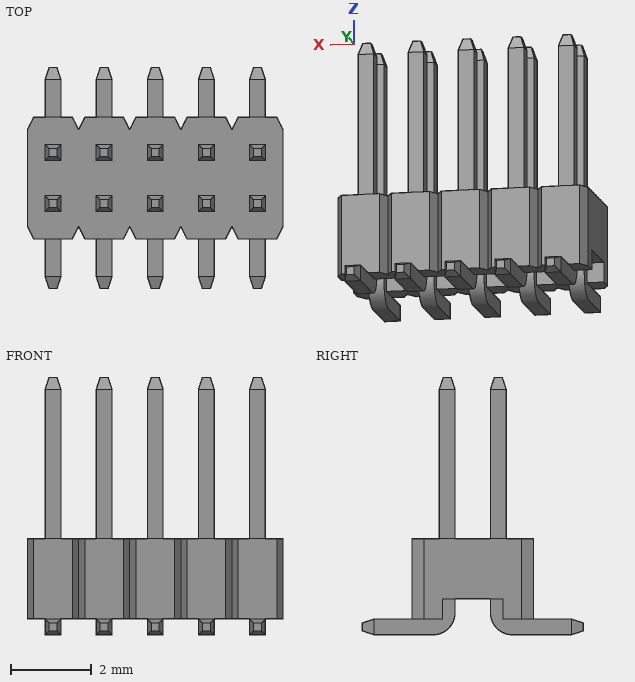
import cadquery as cq


pins_per_row = 5
body_length = 6.35
pin_pitch = body_length / pins_per_row
row_pitch = pin_pitch

pin_size = 0.4
pin_height = 6.4
foot_span = 5.5
bend_radius = 0.55
tip_length = 0.3
tip_size = 0.2

body_width = 3.03
body_height = 2.0
body_bottom = pin_size
notch_depth = 0.31
notch_half_width = 0.155
channel_width = 1.5
channel_depth = 0.5


def centred_positions(count, pitch):
    """Evenly spaced coordinates, symmetric about zero."""
    return [(i - (count - 1) / 2) * pitch for i in range(count)]


def make_body():
    """Housing with V notches between the pins, matching corner bevels and a channel underneath."""
    body = (
        cq.Workplane("XY")
        .workplane(offset=body_bottom)
        .rect(body_length, body_width)
        .extrude(body_height)
    )
    notch_centres = centred_positions(pins_per_row + 1, pin_pitch)
    for side in (-1, 1):
        face_y = side * body_width / 2
        for x in notch_centres:
            notch = (
                cq.Workplane("XY")
                .workplane(offset=body_bottom)
                .polyline([
                    (x - notch_half_width, face_y),
                    (x + notch_half_width, face_y),
                    (x, face_y - side * notch_depth),
                ])
                .close()
                .extrude(body_height)
            )
            body = body.cut(notch)
    channel = (
        cq.Workplane("XY")
        .workplane(offset=body_bottom)
        .rect(body_length, channel_width)
        .extrude(channel_depth)
    )
    return body.cut(channel)


def make_tip(base_plane):
    """Truncated pyramid that tapers from the full pin section along the plane normal."""
    return (
        cq.Workplane(base_plane)
        .rect(pin_size, pin_size)
        .workplane(offset=tip_length)
        .rect(tip_size, tip_size)
        .loft(ruled=True)
    )


def make_pin():
    """Pin of the +Y row at X = 0: a vertical post bent outward into a flat foot."""
    post_y = row_pitch / 2
    post_inner_y = post_y - pin_size / 2
    post_outer_y = post_y + pin_size / 2
    post_top = pin_height - tip_length
    foot_end = foot_span / 2 - tip_length

    shank = (
        cq.Workplane("YZ")
        .moveTo(post_inner_y, post_top)
        .lineTo(post_inner_y, bend_radius)
        .radiusArc((post_inner_y + bend_radius, 0), -bend_radius)
        .lineTo(foot_end, 0)
        .lineTo(foot_end, pin_size)
        .lineTo(post_outer_y, pin_size)
        .lineTo(post_outer_y, post_top)
        .close()
        .extrude(pin_size / 2, both=True)
    )
    top_plane = cq.Plane(origin=(0, post_y, post_top), xDir=(1, 0, 0), normal=(0, 0, 1))
    foot_plane = cq.Plane(origin=(0, foot_end, pin_size / 2), xDir=(1, 0, 0), normal=(0, 1, 0))
    return shank.union(make_tip(top_plane)).union(make_tip(foot_plane))


back_pin = make_pin()
front_pin = back_pin.mirror("XZ")

result = make_body()
for pin_x in centred_positions(pins_per_row, pin_pitch):
    for pin in (back_pin, front_pin):
        result = result.union(pin.translate((pin_x, 0, 0)))